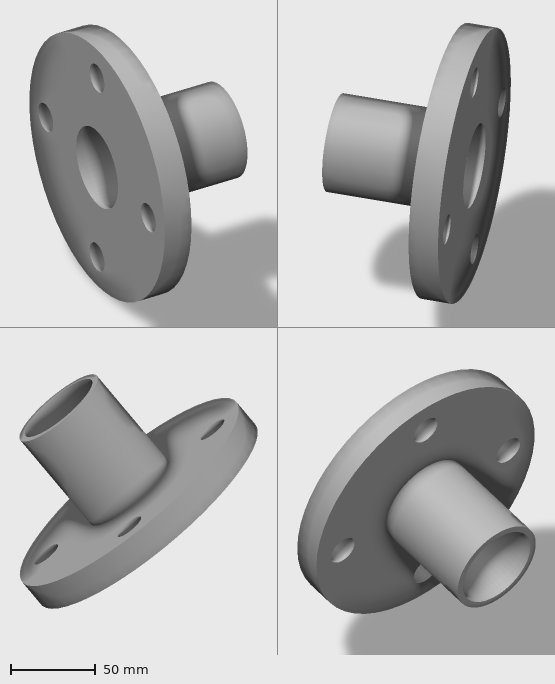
import cadquery as cq

flange_diameter = 165.0
flange_thickness = 18.0
tube_diameter = 59.0
bore_diameter = 51.0
overall_length = 85.0
bolt_hole_diameter = 18.0
bolt_circle_diameter = 125.0
bolt_hole_count = 4


def cylinder_along_y(diameter, length):
    """Cylinder on the Y axis, running from Y = 0 towards +Y."""
    return cq.Workplane("XZ").circle(diameter / 2).extrude(-length)


def bolt_holes():
    """Bolt holes evenly spaced round the flange, with the first on the X axis."""
    return (
        cq.Workplane("XZ")
        .polarArray(bolt_circle_diameter / 2, 0, 360, bolt_hole_count)
        .circle(bolt_hole_diameter / 2)
        .extrude(-flange_thickness)
    )


flange = cylinder_along_y(flange_diameter, flange_thickness)
tube = cylinder_along_y(tube_diameter, overall_length)
bore = cylinder_along_y(bore_diameter, overall_length)

result = flange.union(tube).cut(bore).cut(bolt_holes())